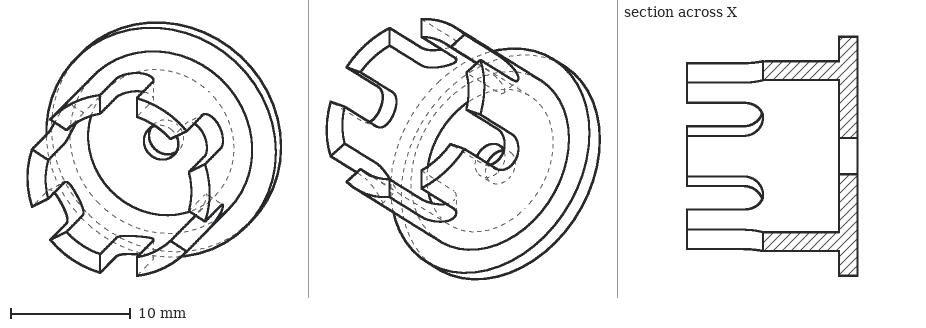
import cadquery as cq

flange_diameter = 20.0
flange_thickness = 1.58
barrel_diameter = 15.88
barrel_length = 12.7
bore_diameter = 12.7
center_hole_diameter = 3.0
slot_count = 6
slot_width = 3.18
slot_depth = 6.35

total_length = barrel_length + flange_thickness
slot_radius = slot_width / 2
slot_straight_length = slot_depth - slot_radius


def cylinder_along_y(diameter, start_y, length):
    """Solid cylinder on the Y axis, extending toward +Y from start_y."""
    return cq.Workplane("XZ", origin=(0, start_y, 0)).circle(diameter / 2).extrude(-length)


def slot_cutter(angle):
    """Round-ended slot from the open end, reaching outward from the axis past the barrel."""
    return (
        cq.Workplane("XY")
        .moveTo(-slot_radius, 0)
        .lineTo(-slot_radius, slot_straight_length)
        .threePointArc((0, slot_depth), (slot_radius, slot_straight_length))
        .lineTo(slot_radius, 0)
        .close()
        .extrude(barrel_diameter)
        .rotate((0, 0, 0), (0, 1, 0), angle)
    )


barrel = cylinder_along_y(barrel_diameter, 0, barrel_length)
flange = cylinder_along_y(flange_diameter, barrel_length, flange_thickness)
result = barrel.union(flange)

result = result.cut(cylinder_along_y(bore_diameter, 0, barrel_length))
result = result.cut(cylinder_along_y(center_hole_diameter, 0, total_length))

for slot_index in range(slot_count):
    result = result.cut(slot_cutter(slot_index * 360 / slot_count))